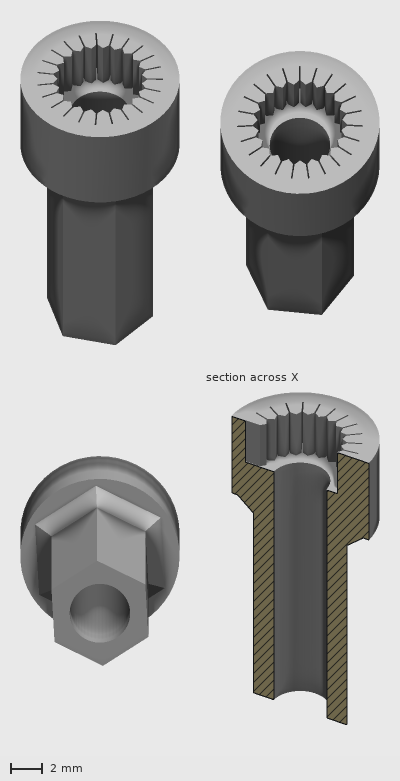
import cadquery as cq
import math

shank_across_flats = 5.9
shank_length = 14.0
flare_height = 1.0
flare_across_flats = shank_across_flats + 2 * flare_height

head_diameter = 10.0
head_height = 6.0
socket_depth = 3.2
tooth_count = 23
tooth_tip_radius = 2.66
tooth_root_radius = 3.0

slit_width = 0.1
slit_outer_radius = 3.95

bore_diameter = 3.8

head_bottom = shank_length + flare_height
total_length = head_bottom + head_height
socket_floor = total_length - socket_depth
tooth_pitch = 360 / tooth_count
first_root_angle = 90.0


def polar_point(radius, degrees):
    """X and Y of a point at the given radius and angle from +X."""
    angle = math.radians(degrees)
    return radius * math.cos(angle), radius * math.sin(angle)


def hexagon_points(across_flats):
    """Corners of a hexagon with two corners on the Y axis and flats facing +X and -X."""
    corner_radius = across_flats / 2 / math.cos(math.pi / 6)
    return [polar_point(corner_radius, 90 + 60 * i) for i in range(6)]


def make_shank():
    return cq.Workplane("XY").polyline(hexagon_points(shank_across_flats)).close().extrude(shank_length)


def make_flare():
    return (
        cq.Workplane("XY", origin=(0, 0, shank_length))
        .polyline(hexagon_points(shank_across_flats))
        .close()
        .workplane(offset=flare_height)
        .polyline(hexagon_points(flare_across_flats))
        .close()
        .loft(ruled=True)
    )


def make_head():
    return cq.Workplane("XY", origin=(0, 0, head_bottom)).circle(head_diameter / 2).extrude(head_height)


def make_socket():
    """Star-shaped cavity with straight flanks between tooth roots and tips."""
    outline = []
    for i in range(tooth_count):
        root_angle = first_root_angle + i * tooth_pitch
        outline.append(polar_point(tooth_root_radius, root_angle))
        outline.append(polar_point(tooth_tip_radius, root_angle + tooth_pitch / 2))
    return cq.Workplane("XY", origin=(0, 0, socket_floor)).polyline(outline).close().extrude(socket_depth)


def make_slits():
    """Radial slits, each starting inside the socket so that it opens at a tooth root."""
    slit_inner_radius = tooth_tip_radius
    slit_center_radius = (slit_inner_radius + slit_outer_radius) / 2
    return (
        cq.Workplane("XY", origin=(0, 0, socket_floor))
        .polarArray(slit_center_radius, first_root_angle, 360, tooth_count)
        .rect(slit_outer_radius - slit_inner_radius, slit_width)
        .extrude(socket_depth)
    )


def make_bore():
    return cq.Workplane("XY").circle(bore_diameter / 2).extrude(total_length)


body = make_shank().union(make_flare()).union(make_head())
result = body.cut(make_socket()).cut(make_slits()).cut(make_bore())